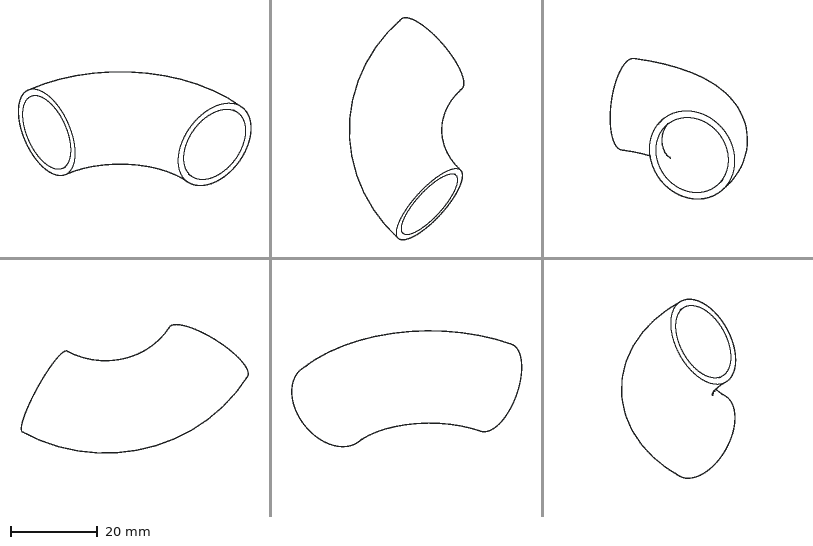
import cadquery as cq

overall_length = 38.15
outer_diameter = 21.3
wall_thickness = 1.6
bend_angle = 90.0

outer_radius = outer_diameter / 2
inner_radius = outer_radius - wall_thickness
bend_radius = overall_length - outer_radius

result = (
    cq.Workplane("XZ")
    .center(-bend_radius, 0)
    .circle(outer_radius)
    .circle(inner_radius)
    .revolve(bend_angle, (bend_radius, 0), (bend_radius, -1))
)